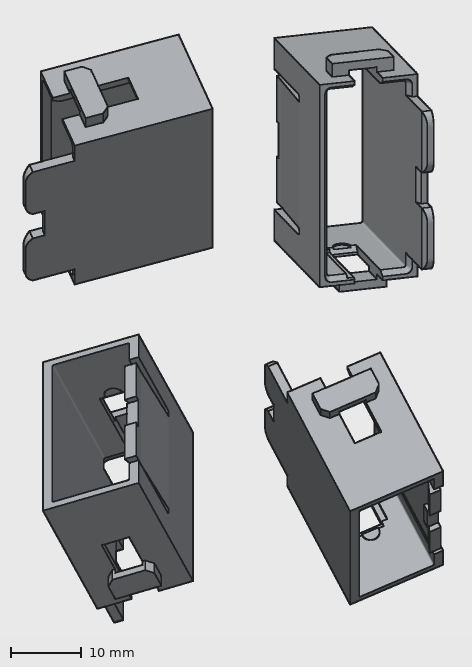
import cadquery as cq


housing_width = 14.6
housing_depth = 20.67
total_height = 34.4
tab_height = 2.0
housing_height = total_height - 2 * tab_height
side_wall = 1.45
end_wall = 1.2
bore_width = housing_width - 2 * side_wall
bore_height = housing_height - 2 * end_wall
bore_radius = 0.3
mouth_radius = 1.0
lead_in_side = 0.65
lead_in_end = 0.62
lead_in_depth = 1.1

slot_width = 4.15
slot_length = 11.32
slot_end_lip = 0.4
dimple_radius = 1.27
dimple_depth = 0.25

tab_front = 2.58
tab_depth = 3.68
tab_chamfer = 1.0
upper_tab_width = 9.15
lower_tab_width = 7.02
arch_height = 0.72

groove_width = 0.93
groove_depth = 0.4

tongue_length = 7.35
tongue_height = 23.75
tongue_bevel_start = 6.25
tongue_bevel_width = 0.48
fork_gap = 5.3
fork_root = 4.47
fork_bevel_start = 3.55
prong_corner_height = 2.0

flap_length = 11.35
flap_height = 19.0
flap_gap = 1.05
flap_gap_radius = 0.4
flap_inset = 0.38
flap_tip_length = 1.9
flap_notch_depth = 0.83
hook_rise = 0.7

left = -housing_width / 2
right = housing_width / 2
housing_top = housing_height / 2
bore_top = bore_height / 2


def block(x, y, z):
    """Box spanning the given (low, high) ranges."""
    size = [high - low for low, high in (x, y, z)]
    return cq.Workplane("XY").box(*size, centered=False).translate((x[0], y[0], z[0]))


def mirrored_z(shape):
    """The shape together with its mirror image below Z = 0."""
    return shape.union(shape.mirror("XY"))


def rounded_rectangle(width, height, radius):
    return cq.Sketch().rect(width, height).vertices().fillet(radius)


def make_housing():
    bore = rounded_rectangle(bore_width, bore_height, bore_radius)
    mouth = rounded_rectangle(bore_width + 2 * lead_in_side, bore_height + 2 * lead_in_end, mouth_radius)
    shell = block((left, right), (0, housing_depth), (-housing_top, housing_top))
    bore_cut = cq.Workplane("XZ").placeSketch(bore).extrude(-housing_depth)
    lead_in = cq.Workplane("XZ").placeSketch(mouth, bore.moved(cq.Location((0, 0, -lead_in_depth)))).loft()
    return shell.cut(bore_cut).cut(lead_in)


def make_slot_cut():
    """Slot in the upper wall, open at the front, with a 45 degree end and a dimple behind it."""
    slope_end = slot_length + end_wall - slot_end_lip
    slot = (
        cq.Workplane("YZ")
        .moveTo(0, housing_top)
        .lineTo(slot_length, housing_top)
        .lineTo(slot_length, housing_top - slot_end_lip)
        .lineTo(slope_end, bore_top)
        .lineTo(0, bore_top)
        .close()
        .extrude(slot_width / 2, both=True)
    )
    dimple = (
        cq.Workplane("XY", origin=(0, slope_end, bore_top))
        .circle(dimple_radius)
        .extrude(dimple_depth)
    )
    return slot.union(dimple)


def make_tab(width):
    """Upper tab that bridges the slot, chamfered at its two back corners."""
    tab = block(
        (-width / 2, width / 2), (tab_front, tab_front + tab_depth), (housing_top, housing_top + tab_height)
    )
    tab = tab.edges("|Z and >Y").chamfer(tab_chamfer)
    arch = block((-slot_width / 2, slot_width / 2), (0, housing_depth), (housing_top, housing_top + arch_height))
    return tab.cut(arch)


def make_groove_cut():
    return block(
        (-slot_width / 2 - groove_width, -slot_width / 2),
        (0, slot_length),
        (-bore_top - groove_depth, -bore_top),
    )


def make_prong():
    """Upper prong of the tongue with rounded tip corners."""
    low = fork_gap / 2
    high = tongue_height / 2
    corner_depth = tongue_length - tongue_bevel_start
    corner_radius = (corner_depth**2 + prong_corner_height**2) / (2 * corner_depth)
    return (
        cq.Workplane("YZ", origin=(right - side_wall, 0, 0))
        .moveTo(lead_in_depth, low)
        .lineTo(-tongue_bevel_start, low)
        .radiusArc((-tongue_length, low + prong_corner_height), corner_radius)
        .lineTo(-tongue_length, high - prong_corner_height)
        .radiusArc((-tongue_bevel_start, high), corner_radius)
        .lineTo(lead_in_depth, high)
        .close()
        .extrude(side_wall)
    )


def make_bevel_cut(start, end, height):
    """Wedge that bevels the inner face of the tongue from start to end ahead of the housing."""
    inner = right - side_wall
    return (
        cq.Workplane("XY")
        .polyline([(inner, -start), (inner + tongue_bevel_width, -end), (inner, -end)])
        .close()
        .extrude(height / 2, both=True)
    )


def make_tongue():
    web = block((right - side_wall, right), (-fork_root, lead_in_depth), (-fork_gap / 2, fork_gap / 2))
    web = web.cut(make_bevel_cut(fork_bevel_start, fork_root, fork_gap))
    prongs = mirrored_z(make_prong()).cut(make_bevel_cut(tongue_bevel_start, tongue_length, tongue_height))
    return web.union(prongs)


def make_flap():
    hinge = housing_depth - flap_length
    crease = housing_depth - flap_tip_length
    inner = left + side_wall
    notch_floor = housing_depth - flap_notch_depth
    flap = (
        cq.Workplane("XY")
        .polyline([
            (left, hinge),
            (left + flap_inset, crease),
            (left + flap_inset, housing_depth),
            (inner + hook_rise, housing_depth),
            (inner, crease),
            (inner, hinge),
        ])
        .close()
        .extrude(flap_height / 2, both=True)
    )
    half_gap = fork_gap / 2
    stop = block((inner, inner + hook_rise), (crease, notch_floor), (-half_gap, half_gap))
    notch = block((left, inner + hook_rise), (notch_floor, housing_depth), (-half_gap, half_gap))
    return flap.union(stop).cut(notch)


def make_flap_window():
    """Opening in the left wall for the flap, with a round-ended gap along each long edge."""
    wall = (left, left + side_wall)
    reach = (housing_depth - flap_length, housing_depth)
    half = flap_height / 2
    gap = block(wall, reach, (half, half + flap_gap)).edges("|X and <Y").fillet(flap_gap_radius)
    return block(wall, reach, (-half, half)).union(mirrored_z(gap))


result = (
    make_housing()
    .cut(mirrored_z(make_slot_cut()))
    .cut(make_groove_cut())
    .cut(make_flap_window())
    .union(make_flap())
    .union(make_tongue())
    .union(make_tab(upper_tab_width))
    .union(make_tab(lower_tab_width).mirror("XY"))
)